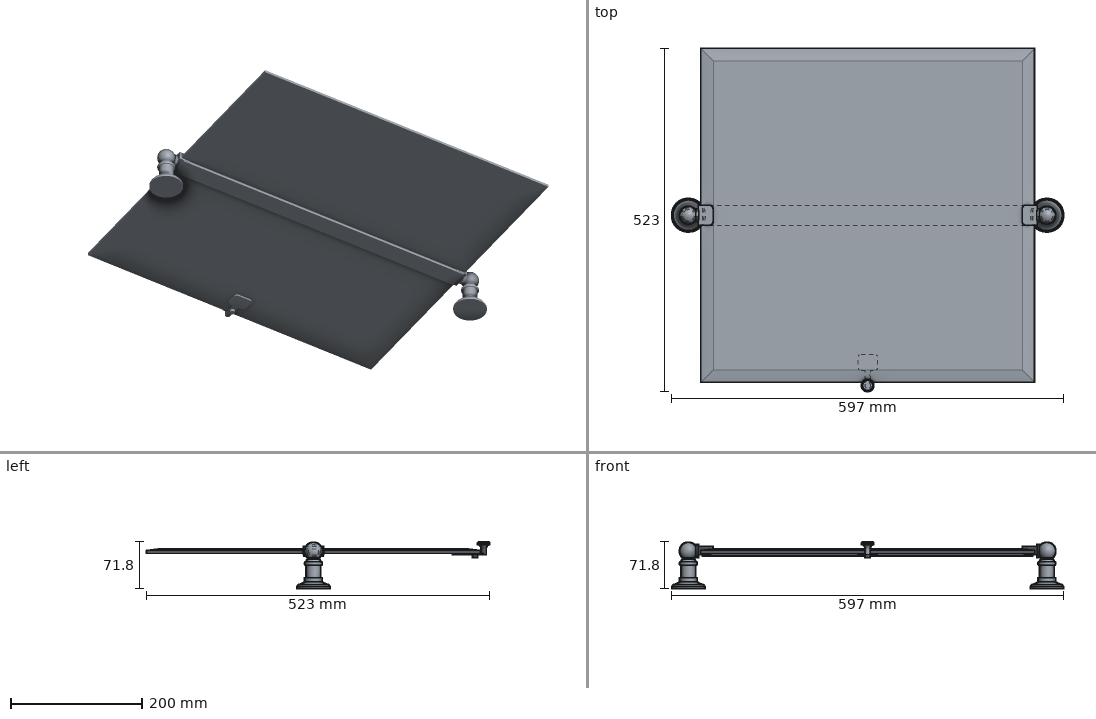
import cadquery as cq

overall_length = 597.0
overall_height = 71.5
overall_depth = 523.0
overlap = 0.5

mirror_half = 254.0
mirror_bottom = 54.5
mirror_edge_top = 58.5
mirror_top = 61.0
bevel_width = 19.0
bevel_inner = mirror_half - bevel_width
pivot_height = (mirror_bottom + mirror_top) / 2

base_radius = 25.5
post_x = overall_length / 2 - base_radius
base_rim_top = 3.0
base_shoulder_radius = 23.0
base_shoulder_top = 6.5
base_flare_sag = 0.5
collar_radius = 14.0
lower_collar_bottom = 11.0
lower_collar_top = 17.5
shaft_radius = 11.5
upper_collar_bottom = 36.5
upper_collar_top = 41.0
upper_collar_bulge = 1.0
neck_bottom_radius = 11.5
neck_top_radius = 9.0
neck_flare_top = 45.5
neck_flare_sag = -0.5
neck_top = 49.0
ball_radius = 14.0

disc_radius = 10.0
disc_outer_x = 261.5
clamp_outer_x = 258.0
clamp_inner_x = bevel_inner
clamp_half_width = 15.5
clamp_bottom = 52.0
clamp_top = 65.0
clamp_corner_radius = 6.0

strap_half_length = 251.0
strap_half_width = 15.0
strap_bottom = 50.0

knob_radius = 9.5
knob_y = mirror_half - overall_depth + knob_radius
plate_bottom = clamp_bottom
pad_inner_y = -211.5
pad_outer_y = -236.0
pad_half_width = 15.0
pad_corner_radius = 5.0
stem_radius = 4.0
screw_radius = 4.0
screw_y = -246.0
screw_bottom = 48.0
knob_rim_bottom = 67.5
knob_flare_bottom = 62.5
knob_flare_sag = 1.0
knob_chamfer = 2.0


def block(x_range, y_range, z_range):
    """Box filling the given (low, high) ranges."""
    sizes = [high - low for low, high in (x_range, y_range, z_range)]
    corner = (x_range[0], y_range[0], z_range[0])
    return cq.Workplane("XY").box(*sizes, centered=False).translate(corner)


def cylinder(x, y, radius, bottom, top):
    """Upright cylinder between two heights."""
    return cq.Workplane("XY", origin=(x, y, bottom)).circle(radius).extrude(top - bottom)


def make_mirror():
    span = (-mirror_half, mirror_half)
    slab = block(span, span, (mirror_bottom, mirror_edge_top))
    bevel = (
        cq.Workplane("XY", origin=(0, 0, mirror_edge_top))
        .rect(2 * mirror_half, 2 * mirror_half)
        .workplane(offset=mirror_top - mirror_edge_top)
        .rect(2 * bevel_inner, 2 * bevel_inner)
        .loft(ruled=True)
    )
    return slab.union(bevel)


def make_right_post():
    """Turned post with a ball on top, on the +X side."""
    turned = (
        cq.Workplane("XZ")
        .lineTo(base_radius, 0)
        .lineTo(base_radius, base_rim_top)
        .lineTo(base_shoulder_radius, base_shoulder_top)
        .sagittaArc((collar_radius, lower_collar_bottom), base_flare_sag)
        .lineTo(collar_radius, lower_collar_top)
        .lineTo(shaft_radius, lower_collar_top)
        .lineTo(shaft_radius, upper_collar_bottom)
        .lineTo(collar_radius - upper_collar_bulge, upper_collar_bottom)
        .threePointArc(
            (collar_radius, (upper_collar_bottom + upper_collar_top) / 2),
            (collar_radius - upper_collar_bulge, upper_collar_top),
        )
        .lineTo(neck_bottom_radius, upper_collar_top)
        .sagittaArc((neck_top_radius, neck_flare_top), neck_flare_sag)
        .lineTo(neck_top_radius, neck_top)
        .lineTo(0, neck_top)
        .close()
        .revolve(360, (0, 0, 0), (0, 1, 0))
    )
    ball = cq.Workplane("XY").sphere(ball_radius).translate((0, 0, pivot_height))
    return turned.union(ball).translate((post_x, 0, 0))


def make_right_clamp():
    """Pivot disc and rounded clamp block, on the +X side."""
    disc = (
        cq.Workplane("YZ", origin=(clamp_outer_x - overlap, 0, pivot_height))
        .circle(disc_radius)
        .extrude(disc_outer_x - clamp_outer_x + overlap)
    )
    clamp = block(
        (clamp_inner_x, clamp_outer_x),
        (-clamp_half_width, clamp_half_width),
        (clamp_bottom, clamp_top),
    )
    clamp = clamp.edges("|Z and <X").fillet(clamp_corner_radius)
    return disc.union(clamp)


def make_strap():
    return block(
        (-strap_half_length, strap_half_length),
        (-strap_half_width, strap_half_width),
        (strap_bottom, mirror_bottom + overlap),
    )


def make_handle():
    """T-shaped plate with a screw below it and a knob standing at its outer end."""
    plate_heights = (plate_bottom, mirror_bottom)
    pad = block((-pad_half_width, pad_half_width), (pad_outer_y, pad_inner_y), plate_heights)
    pad = pad.edges("|Z").fillet(pad_corner_radius)
    tongue = block((-stem_radius, stem_radius), (knob_y, pad_outer_y + overlap), plate_heights)
    screw = cylinder(0, screw_y, screw_radius, screw_bottom, mirror_bottom)
    knob = (
        cq.Workplane("XZ")
        .moveTo(0, plate_bottom)
        .lineTo(stem_radius, plate_bottom)
        .lineTo(stem_radius, knob_flare_bottom)
        .sagittaArc((knob_radius, knob_rim_bottom), knob_flare_sag)
        .lineTo(knob_radius, overall_height - knob_chamfer)
        .lineTo(knob_radius - knob_chamfer, overall_height)
        .lineTo(0, overall_height)
        .close()
        .revolve(360, (0, 0, 0), (0, 1, 0))
        .translate((0, knob_y, 0))
    )
    return pad.union(tongue).union(screw).union(knob)


right_support = make_right_post().union(make_right_clamp())
left_support = right_support.mirror("YZ")

result = (
    make_mirror()
    .union(make_strap())
    .union(right_support)
    .union(left_support)
    .union(make_handle())
)